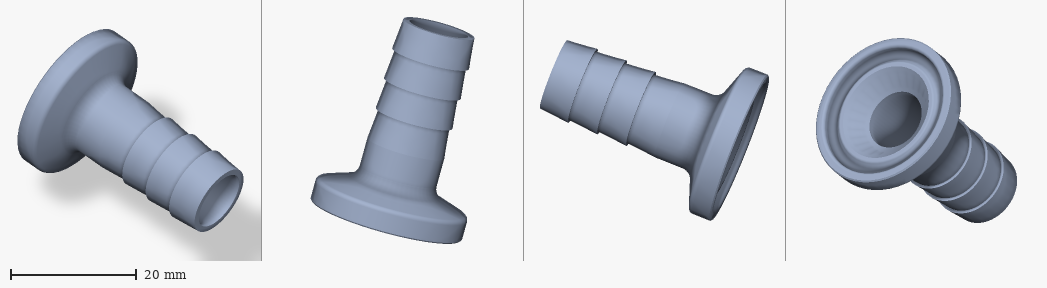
import cadquery as cq
import math

total_length = 32.0
flange_radius = 12.495
flange_rim_width = 3.17
rim_edge_chamfer = 0.22
flange_back_angle = math.radians(70)
rim_fillet = 0.8
neck_fillet = 2.0
neck_radius = 6.35

barb_count = 4
barb_length = 5.0
barb_tip_radius = 5.85

bore_radius = 4.83
funnel_mouth_radius = 7.95
funnel_end_depth = 4.0

lip_depth = 1.0
lip_flat_radius = 8.48
lip_edge_fillet = 0.5
groove_outer_radius = 10.88
groove_edge_fillet = 0.5
groove_floor_radius = 0.8
groove_wall_angle = math.radians(45)



def arc_points(start_x, center_r, radius, start_angle, end_angle):
    """Middle and end of an arc that starts at start_x, at start_angle about its centre."""
    center_x = start_x - radius * math.cos(start_angle)
    middle_angle = (start_angle + end_angle) / 2
    return [
        (center_x + radius * math.cos(a), center_r + radius * math.sin(a))
        for a in (middle_angle, end_angle)
    ]


def make_body():
    """Flange, conical back, neck and hose barbs as one solid of revolution."""
    right_angle = math.pi / 2
    back_normal = right_angle - flange_back_angle
    rim_middle, rim_end = arc_points(
        flange_rim_width, flange_radius - rim_fillet,
        rim_fillet, right_angle, back_normal,
    )
    neck_fillet_top = neck_radius + neck_fillet * (1 - math.sin(back_normal))
    cone_end_x = rim_end[0] + (rim_end[1] - neck_fillet_top) / math.tan(flange_back_angle)
    neck_middle, neck_start = arc_points(
        cone_end_x, neck_radius + neck_fillet,
        neck_fillet, back_normal + math.pi, 3 * right_angle,
    )
    outline = (
        cq.Workplane("XZ")
        .moveTo(0, 0)
        .lineTo(0, flange_radius - rim_edge_chamfer)
        .lineTo(rim_edge_chamfer, flange_radius)
        .lineTo(flange_rim_width, flange_radius)
        .threePointArc(rim_middle, rim_end)
        .lineTo(cone_end_x, neck_fillet_top)
        .threePointArc(neck_middle, neck_start)
    )
    barbs_start = total_length - barb_count * barb_length
    for i in range(barb_count):
        barb_start = barbs_start + i * barb_length
        outline = outline.lineTo(barb_start, neck_radius)
        outline = outline.lineTo(barb_start + barb_length, barb_tip_radius)
    outline = outline.lineTo(total_length, 0).close()
    return outline.revolve(360, (0, 0, 0), (1, 0, 0))


def make_bore():
    """Straight through bore with a conical funnel at the flange face."""
    return (
        cq.Workplane("XZ")
        .polyline([
            (0, 0),
            (0, funnel_mouth_radius),
            (lip_depth, funnel_mouth_radius),
            (funnel_end_depth, bore_radius),
            (total_length, bore_radius),
            (total_length, 0),
        ])
        .close()
        .revolve(360, (0, 0, 0), (1, 0, 0))
    )


def make_face_recess():
    """Recess down to the sealing lip, with a round-bottomed gasket groove around the lip."""
    right_angle = math.pi / 2
    lip_wall_normal = right_angle + groove_wall_angle
    lip_middle, lip_end = arc_points(
        lip_depth, lip_flat_radius,
        lip_edge_fillet, math.pi, lip_wall_normal,
    )
    floor_center_r = groove_outer_radius - groove_floor_radius
    floor_start_r = floor_center_r - groove_floor_radius * math.sin(lip_wall_normal)
    floor_start_x = lip_end[0] + (floor_start_r - lip_end[1]) / math.tan(groove_wall_angle)
    floor_middle, floor_end = arc_points(
        floor_start_x, floor_center_r,
        groove_floor_radius, lip_wall_normal - math.pi, right_angle,
    )
    edge_middle, edge_end = arc_points(
        groove_edge_fillet, groove_outer_radius + groove_edge_fillet,
        groove_edge_fillet, -right_angle, -math.pi,
    )
    return (
        cq.Workplane("XZ")
        .moveTo(0, 0)
        .lineTo(lip_depth, 0)
        .lineTo(lip_depth, lip_flat_radius)
        .threePointArc(lip_middle, lip_end)
        .lineTo(floor_start_x, floor_start_r)
        .threePointArc(floor_middle, floor_end)
        .lineTo(groove_edge_fillet, groove_outer_radius)
        .threePointArc(edge_middle, edge_end)
        .close()
        .revolve(360, (0, 0, 0), (1, 0, 0))
    )


result = make_body().cut(make_bore()).cut(make_face_recess())